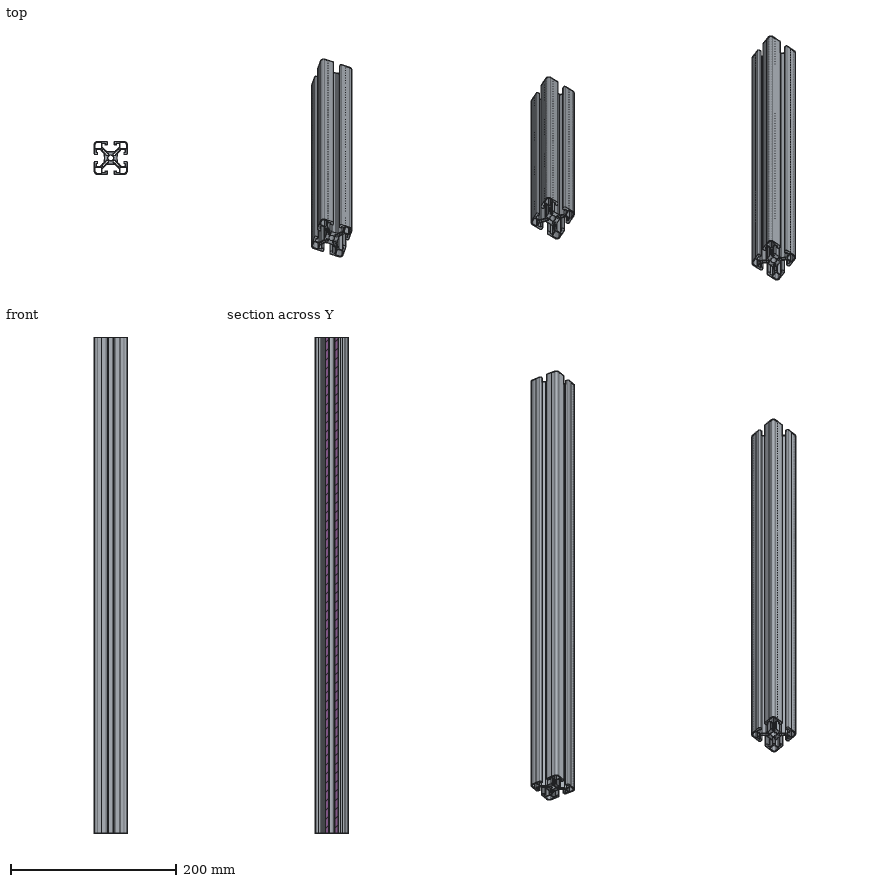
import cadquery as cq
import math

length = 600.0
side = 40.0
half_side = side / 2
corner_radius = 3.9

slot_opening = 8.1
slot_inner_width = 21.0
slot_depth = 12.35
slot_cheek_depth = 7.0
slot_floor_width = 10.0
floor_groove_width = 5.1
floor_groove_depth = 0.25

lip_thickness = 4.1
lip_root_thickness = 2.5
lip_hook_width = 2.8
lip_edge_radius = 1.45
lip_hook_radius = 0.4

chamber_wall = 1.2
chamber_web = 0.9
chamber_outer_radius = 2.7

bore_diameter = 6.8
cell_start = 3.0
cell_size = 2.6
cell_chamfer = 0.8
channel_width = 2.1
channel_end = 14.1

SLOT_ANGLES = (0, 90, 180, 270)
ARM_ANGLE = 45
ARC_INSET = 1 - math.sqrt(0.5)


def around_axis(solid):
    """Combine copies of a solid, a quarter turn apart about Z."""
    copies = cq.Workplane("XY")
    for angle in SLOT_ANGLES:
        copies = copies.add(solid.rotate((0, 0, 0), (0, 0, 1), angle))
    return copies.combine()


def make_blank():
    """Square bar with rounded long edges."""
    blank = cq.Workplane("XY").rect(side, side).extrude(length)
    return blank.edges("|Z").fillet(corner_radius)


def make_slot():
    """T-slot cutter for the +Y side: rounded mouth, hooked lips and a grooved floor."""
    half_opening = slot_opening / 2
    half_inner = slot_inner_width / 2
    half_floor = slot_floor_width / 2
    half_groove = floor_groove_width / 2
    hook_x = half_opening + lip_hook_width
    hook_y = half_side - lip_thickness
    root_y = half_side - lip_root_thickness
    cheek_y = half_side - slot_cheek_depth
    groove_y = half_side - slot_depth
    floor_y = groove_y + floor_groove_depth
    edge_inset = lip_edge_radius * ARC_INSET
    hook_inset = lip_hook_radius * ARC_INSET
    half_slot = (
        cq.Workplane("XY")
        .moveTo(0, half_side)
        .lineTo(half_opening + lip_edge_radius, half_side)
        .threePointArc(
            (half_opening + edge_inset, half_side - edge_inset),
            (half_opening, half_side - lip_edge_radius),
        )
        .lineTo(half_opening, hook_y + lip_hook_radius)
        .threePointArc(
            (half_opening + hook_inset, hook_y + hook_inset),
            (half_opening + lip_hook_radius, hook_y),
        )
        .lineTo(hook_x, hook_y)
        .lineTo(hook_x, root_y)
        .lineTo(half_inner, root_y)
        .lineTo(half_inner, cheek_y)
        .lineTo(half_floor, floor_y)
        .lineTo(half_groove, floor_y)
        .lineTo(half_groove, groove_y)
        .lineTo(0, groove_y)
        .close()
        .extrude(length)
    )
    return half_slot.union(half_slot.mirror("YZ"))


def make_chamber():
    """Square chamber in the (+X, +Y) corner, rounded on its outermost edge."""
    start = slot_inner_width / 2 + chamber_web
    size = half_side - chamber_wall - start
    chamber = cq.Workplane("XY").center(start, start).rect(size, size, centered=False).extrude(length)
    return chamber.edges("|Z and >X and >Y").fillet(chamber_outer_radius)


def make_arm_cavity():
    """Square cell beside the bore, opening into a flat channel along the (+X, +Y) arm."""
    cell = (
        cq.Workplane("XY")
        .center(cell_start, cell_start)
        .rect(cell_size, cell_size, centered=False)
        .extrude(length)
        .edges("|Z and <X and <Y")
        .chamfer(cell_chamfer)
    )
    channel_start = math.sqrt(2) * (cell_start + cell_size / 2)
    channel_length = channel_end - channel_start
    channel = (
        cq.Workplane("XY")
        .center(channel_start + channel_length / 2, 0)
        .rect(channel_length, channel_width)
        .extrude(length)
        .rotate((0, 0, 0), (0, 0, 1), ARM_ANGLE)
    )
    return cell.union(channel)


def make_bore():
    """Round bore along the axis."""
    return cq.Workplane("XY").circle(bore_diameter / 2).extrude(length)


body = make_blank().cut(make_bore())
for cutter in (make_slot(), make_chamber(), make_arm_cavity()):
    body = body.cut(around_axis(cutter))

result = body.solids()